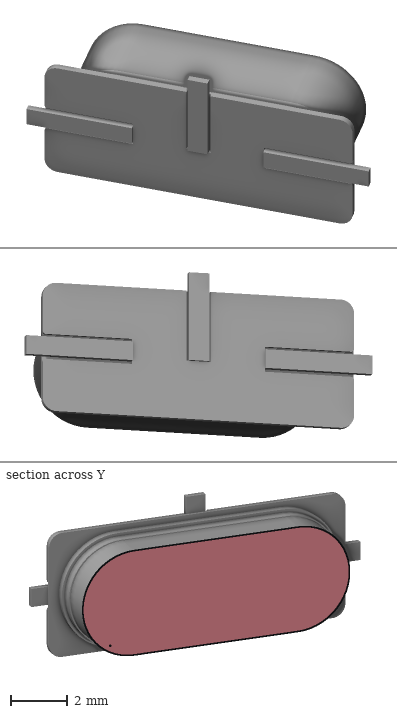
import cadquery as cq
import math

overall_length = 12.7
overall_depth = 4.17

plate_length = 11.43
plate_height = 4.7
plate_corner_radius = 0.5
plate_front = 0.11
plate_back = 0.34

flange_length = 10.68
flange_height = 4.29
flange_back = 0.61
collar_length = 10.44
collar_height = 4.05
collar_back = 0.99
cap_length = 10.31
cap_height = 3.98
cap_edge_radius = 0.5

lead_thickness = 0.23
side_lead_length = 3.91
side_lead_width = 0.69
side_groove_width = 0.91
groove_mouth_radius = 0.11
top_lead_length = 3.21
top_lead_width = 0.74
top_groove_width = 0.89
top_lead_overhang = 0.65

side_lead_inner_x = overall_length / 2 - side_lead_length
top_lead_end_z = plate_height / 2 + top_lead_overhang
top_lead_inner_z = top_lead_end_z - top_lead_length


def block(x_range, y_range, z_range):
    """Rectangular block between the given limits."""
    size = [end - start for start, end in (x_range, y_range, z_range)]
    corner = (x_range[0], y_range[0], z_range[0])
    return cq.Workplane("XY").box(*size, centered=False).translate(corner)


def obround(length, height, front, back):
    """Straight-sided tier with semicircular ends, between two Y positions."""
    profile = cq.Workplane("XZ", origin=(0, front, 0)).slot2D(length, height)
    return profile.extrude(front - back)


def make_plate():
    plate = block(
        (-plate_length / 2, plate_length / 2),
        (plate_front, plate_back),
        (-plate_height / 2, plate_height / 2),
    )
    return plate.edges("|Y").fillet(plate_corner_radius)


def make_can():
    flange = obround(flange_length, flange_height, plate_back, flange_back)
    collar = obround(collar_length, collar_height, flange_back, collar_back)
    cap = obround(cap_length, cap_height, collar_back, overall_depth)
    cap = cap.faces(">Y").edges().fillet(cap_edge_radius)
    return flange.union(collar).union(cap)


def side_lead():
    """Lead leaving the plate at +X, at mid height."""
    return block(
        (side_lead_inner_x, overall_length / 2),
        (0, lead_thickness),
        (-side_lead_width / 2, side_lead_width / 2),
    )


def top_bar(width):
    """Upright bar centred on X = 0, covering the length of the top lead."""
    return block((-width / 2, width / 2), (0, lead_thickness), (top_lead_inner_z, top_lead_end_z))


def side_groove():
    """Groove for the +X lead, with its mouth rounded outwards at the plate edge."""
    half_width = side_groove_width / 2
    mouth_half_width = half_width + groove_mouth_radius
    edge_x = plate_length / 2
    flare_x = edge_x - groove_mouth_radius
    diagonal = groove_mouth_radius * math.cos(math.pi / 4)
    arc_x = flare_x + diagonal
    arc_z = mouth_half_width - diagonal
    return (
        cq.Workplane("XZ")
        .moveTo(side_lead_inner_x, -half_width)
        .lineTo(flare_x, -half_width)
        .threePointArc((arc_x, -arc_z), (edge_x, -mouth_half_width))
        .lineTo(edge_x, mouth_half_width)
        .threePointArc((arc_x, arc_z), (flare_x, half_width))
        .lineTo(side_lead_inner_x, half_width)
        .close()
        .extrude(-lead_thickness)
    )


right_groove = side_groove()
right_lead = side_lead()

plate = make_plate().cut(top_bar(top_groove_width))
plate = plate.cut(right_groove).cut(right_groove.mirror("YZ"))

result = plate.union(make_can()).union(top_bar(top_lead_width))
result = result.union(right_lead).union(right_lead.mirror("YZ"))